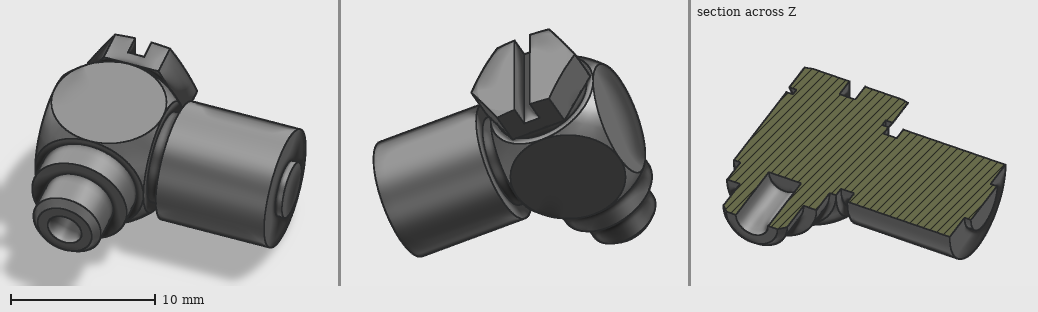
import cadquery as cq
import math

body_side = 8.0
body_half = body_side / 2
body_sphere_radius = body_half * math.sqrt(2)

screw_collar_diameter = 7.0
head_gap = 0.5
front_collar_length = 2.0
spigot_diameter = 5.0
spigot_length = 3.0
spigot_chamfer = 0.5
bore_diameter = 2.5
bore_depth = spigot_length + front_collar_length

hex_across_flats = 7.0
hex_across_corners = hex_across_flats / math.cos(math.pi / 6)
head_height = 2.5
head_chamfer_angle = math.radians(15)
slot_width = 1.2
slot_depth = 1.5

neck_diameter = 6.5
neck_length = 1.0
sleeve_diameter = 8.5
sleeve_length = 8.0
tip_diameter = 4.0
tip_length = 0.5

head_base_y = body_half + head_gap
head_top_y = head_base_y + head_height
collar_front_y = -body_half - front_collar_length
spigot_end_y = collar_front_y - spigot_length


def cylinder_along_x(diameter, start_x, length):
    return cq.Workplane("YZ", origin=(start_x, 0, 0)).circle(diameter / 2).extrude(length)


def cylinder_along_y(diameter, start_y, end_y):
    """Cylinder about Y; the XZ workplane normal points to -Y."""
    return cq.Workplane("XZ", origin=(0, end_y, 0)).circle(diameter / 2).extrude(end_y - start_y)


def make_body():
    """Cube whose corners are rounded off by a sphere, leaving a round flat on each face."""
    cube = cq.Workplane("XY").box(body_side, body_side, body_side)
    return cube.intersect(cq.Workplane("XY").sphere(body_sphere_radius))


def make_head():
    """Slotted hexagon head with its corners at +X and -X, turned conical at the outer end."""
    head = cq.Workplane("XZ", origin=(0, head_top_y, 0)).polygon(6, hex_across_corners).extrude(head_height)

    flat_radius = hex_across_flats / 2
    corner_radius = hex_across_corners / 2
    corner_drop = (corner_radius - flat_radius) * math.tan(head_chamfer_angle)
    turned_blank = (
        cq.Workplane("XY")
        .moveTo(0, head_base_y)
        .lineTo(corner_radius, head_base_y)
        .lineTo(corner_radius, head_top_y - corner_drop)
        .lineTo(flat_radius, head_top_y)
        .lineTo(0, head_top_y)
        .close()
        .revolve(360, (0, 0, 0), (0, 1, 0))
    )

    slot = cq.Workplane("XY").box(slot_width, slot_depth, hex_across_corners)
    slot = slot.translate((0, head_top_y - slot_depth / 2, 0))
    return head.intersect(turned_blank).cut(slot)


def make_screw():
    """Collar through the body, chamfered spigot with a blind bore, and the head."""
    collar = cylinder_along_y(screw_collar_diameter, collar_front_y, head_base_y)
    spigot = cylinder_along_y(spigot_diameter, spigot_end_y, collar_front_y)
    spigot = spigot.faces("<Y").chamfer(spigot_chamfer)
    bore = cylinder_along_y(bore_diameter, spigot_end_y, spigot_end_y + bore_depth)
    return collar.union(spigot).union(make_head()).cut(bore)


def make_connector():
    """Neck, sleeve and tip stacked along +X."""
    sleeve_start_x = body_half + neck_length
    tip_start_x = sleeve_start_x + sleeve_length
    neck = cylinder_along_x(neck_diameter, body_half, neck_length)
    sleeve = cylinder_along_x(sleeve_diameter, sleeve_start_x, sleeve_length)
    tip = cylinder_along_x(tip_diameter, tip_start_x, tip_length)
    return neck.union(sleeve).union(tip)


result = make_body().union(make_screw()).union(make_connector())